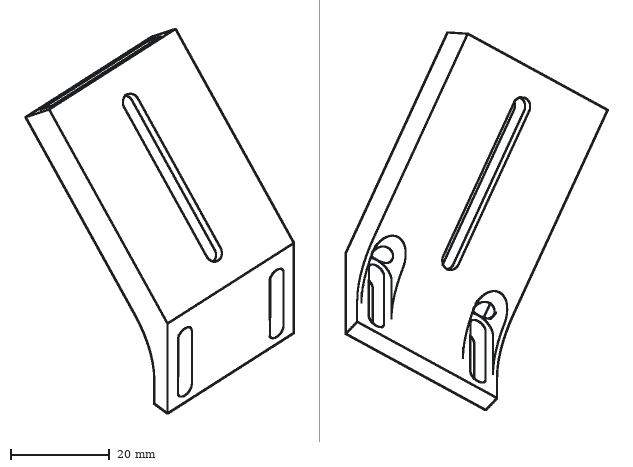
import cadquery as cq
import math

height = 60.5
width = 35.0
foot_thickness = 4.0
kink_height = 25.15
arm_thickness = 10.0
arm_angle = 45.0
bend_radius = 20.0

pocket_width = 30.0
pocket_thickness = 5.0
pocket_depth = 49.0
pocket_floor_radius = 3.0

slot_diameter = 3.8
arm_slot_travel = 34.85
arm_slot_margin = 6.0
foot_slot_travel = 14.9
foot_slot_margin = 2.0
foot_slot_offset = 12.7
relief_diameter = 7.5

lean = math.radians(arm_angle)
arm_rise = height - kink_height
arm_run = arm_rise * math.tan(lean)
tip_x = -arm_run
edge_x = tip_x - arm_thickness * math.cos(lean)
edge_z = height - arm_thickness * math.sin(lean)
inner_corner_z = edge_z - (-foot_thickness - edge_x) / math.tan(lean)
slot_radius = slot_diameter / 2
foot_slot_bottom = foot_slot_margin + slot_radius
cut_reach = height

end_face = cq.Plane(
    origin=((tip_x + edge_x) / 2, 0, (height + edge_z) / 2),
    xDir=(0, 1, 0),
    normal=(-math.sin(lean), 0, math.cos(lean)),
)


def make_body():
    """Bent bracket profile, blended on the inside of the bend."""
    profile = [
        (0, 0),
        (0, kink_height),
        (tip_x, height),
        (edge_x, edge_z),
        (-foot_thickness, inner_corner_z),
        (-foot_thickness, 0),
    ]
    body = cq.Workplane("XZ").polyline(profile).close().extrude(width / 2, both=True)
    inner_corner = cq.selectors.NearestToPointSelector((-foot_thickness, 0, inner_corner_z))
    return body.edges(inner_corner).fillet(bend_radius)


def make_pocket():
    """Blind rectangular pocket entering the arm's end face, with its lower inner edge rounded."""
    pocket = cq.Workplane(end_face).rect(pocket_width, pocket_thickness).extrude(-pocket_depth)
    floor_points = [
        end_face.toWorldCoords((0, side * pocket_thickness / 2, -pocket_depth))
        for side in (-1, 1)
    ]
    floor_end = min(floor_points, key=lambda point: point.x)
    floor_edge = cq.selectors.NearestToPointSelector(floor_end.toTuple())
    return pocket.edges(floor_edge).fillet(pocket_floor_radius)


def make_arm_slot():
    """Slot through the arm's thickness, running along the arm."""
    centre_distance = arm_slot_margin + slot_radius + arm_slot_travel / 2
    slot_plane = cq.Plane(
        origin=end_face.toWorldCoords((0, 0, -centre_distance)),
        xDir=end_face.zDir,
        normal=end_face.yDir,
    )
    slot_length = arm_slot_travel + slot_diameter
    return cq.Workplane(slot_plane).slot2D(slot_length, slot_diameter).extrude(arm_thickness, both=True)


def make_foot_slot(y):
    """Upright slot through the foot, with a relief cut into the bend flush with the foot's inner face."""
    centre_z = foot_slot_bottom + foot_slot_travel / 2
    slot = (
        cq.Workplane("YZ")
        .center(y, centre_z)
        .slot2D(foot_slot_travel + slot_diameter, slot_diameter, 90)
        .extrude(cut_reach, both=True)
    )
    relief = (
        cq.Workplane("YZ", origin=(-foot_thickness, 0, 0))
        .center(y, centre_z)
        .slot2D(foot_slot_travel + relief_diameter, relief_diameter, 90)
        .extrude(-cut_reach)
    )
    return slot.union(relief)


result = make_body().cut(make_pocket()).cut(make_arm_slot())
for side in (-1, 1):
    result = result.cut(make_foot_slot(side * foot_slot_offset))